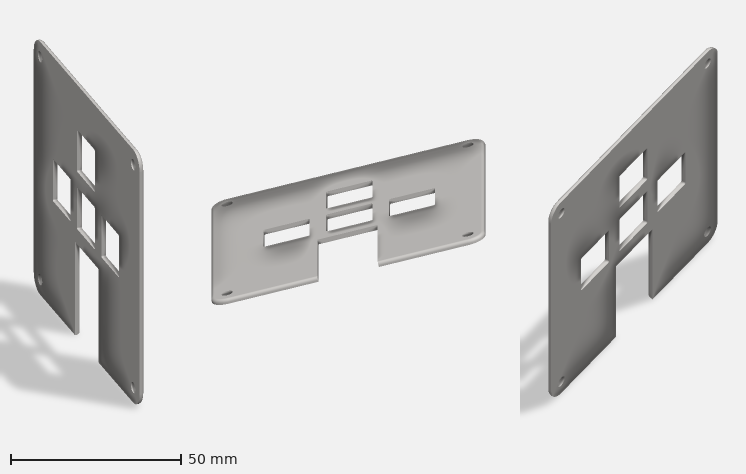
import cadquery as cq

width = 83.0
height = 84.0
thickness = 1.5
corner_radius = 5.0
back_edge_radius = 1.0

screw_hole_diameter = 3.4
screw_spacing_x = width - 2 * corner_radius
screw_spacing_z = height - 2 * corner_radius

switch_size = 14.0
switch_corner_radius = 0.5
switch_pitch = 19.05
switch_center_x = -0.53
switch_row_z = 1.05
switch_centers = [
    (switch_center_x - switch_pitch, switch_row_z),
    (switch_center_x, switch_row_z),
    (switch_center_x + switch_pitch, switch_row_z),
    (switch_center_x, switch_row_z + switch_pitch),
]

slot_width = 18.3
slot_depth = 31.0
slot_center_x = 0.0


def sketch_plane():
    """Plane of the +Y face: local x is X, local y is Z, and extrusions run toward -Y."""
    return cq.Workplane("XZ", origin=(0, thickness / 2, 0))


def make_plate():
    """Plate with rounded corners and a rounded outer edge on its +Y face."""
    plate = sketch_plane().rect(width, height).extrude(thickness)
    plate = plate.edges("|Y").fillet(corner_radius)
    return plate.faces(">Y").edges().fillet(back_edge_radius)


def make_screw_holes():
    """Four through-hole cutters, one near each corner."""
    return (
        sketch_plane()
        .rect(screw_spacing_x, screw_spacing_z, forConstruction=True)
        .vertices()
        .circle(screw_hole_diameter / 2)
        .extrude(thickness)
    )


def make_switch_openings():
    """Square through cutters with slightly rounded corners."""
    return (
        sketch_plane()
        .pushPoints(switch_centers)
        .rect(switch_size, switch_size)
        .extrude(thickness)
        .edges("|Y")
        .fillet(switch_corner_radius)
    )


def make_slot():
    """Rectangular through cutter rising from the bottom edge."""
    slot_center_z = -height / 2 + slot_depth / 2
    return (
        sketch_plane()
        .center(slot_center_x, slot_center_z)
        .rect(slot_width, slot_depth)
        .extrude(thickness)
    )


result = make_plate().cut(make_screw_holes()).cut(make_switch_openings()).cut(make_slot())